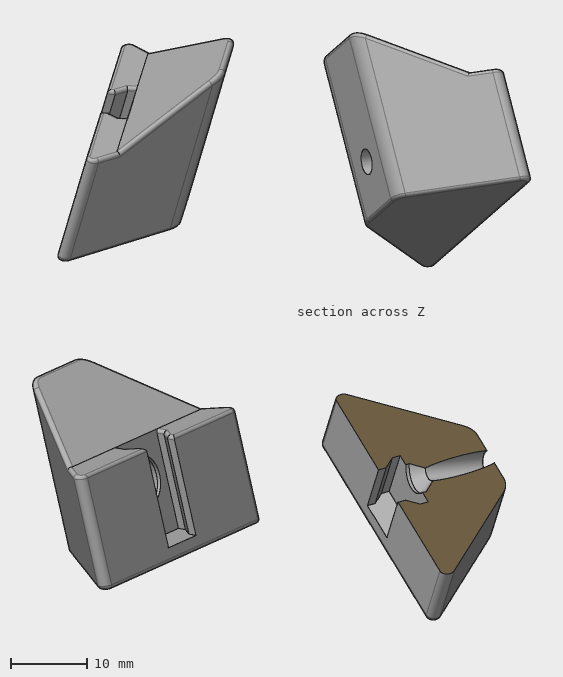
import cadquery as cq
import math

tilt_angle = 15.0
turn_angle = -45.0

half_width = 18.6
block_depth = 14.1
ledge_height = 15.0
ramp_angle = 31.8
front_corner_radius = 1.0
back_corner_radius = 3.58
edge_radius = 0.5

slot_half_width = 3.3
slot_undercut = 1.43
slot_lip = 1.05
slot_floor_height = 2.0

screw_diameter = 3.4
head_diameter = 6.5
head_recess = 0.5
screw_height = 9.45

tilt = math.radians(tilt_angle)
ramp = math.radians(ramp_angle)
tip_half_width = half_width + math.sqrt(2) * front_corner_radius
back_half_width = tip_half_width - block_depth
slot_depth = 2 * slot_lip + slot_undercut
ramp_foot = slot_depth / math.cos(tilt) + ledge_height * math.tan(tilt)
countersink_depth = (head_diameter - screw_diameter) / 2
reach = 4 * half_width


def lean_back(shape):
    """Lean an upright shape backward about the lower front edge."""
    return shape.rotate((0, 0, 0), (1, 0, 0), -tilt_angle)


def half_prism():
    """Right half of the block section, as an over-long leaning prism."""
    prism = (
        cq.Workplane("XY", origin=(0, 0, -reach / 2))
        .lineTo(tip_half_width, 0)
        .lineTo(back_half_width, block_depth)
        .lineTo(0, block_depth)
        .close()
        .extrude(reach)
    )
    prism = prism.edges("|Z and >X").fillet(front_corner_radius)
    back_corner = cq.NearestToPointSelector((back_half_width, block_depth, 0))
    prism = prism.edges("|Z").edges(back_corner).fillet(back_corner_radius)
    return lean_back(prism)


def height_envelope():
    """Space above the base and below the ledge and the ramp."""
    ramp_end_height = ledge_height + (reach - ramp_foot) * math.tan(ramp)
    return (
        cq.Workplane("YZ")
        .moveTo(-reach, 0)
        .lineTo(reach, 0)
        .lineTo(reach, ramp_end_height)
        .lineTo(ramp_foot, ledge_height)
        .lineTo(-reach, ledge_height)
        .close()
        .extrude(reach)
    )


def half_slot():
    """Right half of the undercut slot: it leans with the front face and has a level floor."""
    inner_half_width = slot_half_width + slot_undercut
    profile = (
        cq.Workplane("XY", origin=(0, 0, -reach / 2))
        .moveTo(0, -slot_depth)
        .lineTo(slot_half_width, -slot_depth)
        .lineTo(slot_half_width, slot_lip)
        .lineTo(inner_half_width, slot_lip + slot_undercut)
        .lineTo(inner_half_width, slot_depth)
        .lineTo(0, slot_depth)
        .close()
        .extrude(reach)
    )
    slot_height = ledge_height - slot_floor_height
    level_band = cq.Workplane("XY", origin=(0, 0, slot_floor_height)).rect(reach, reach).extrude(slot_height)
    return lean_back(profile).intersect(level_band)


def outer_edges(faces):
    """Edges around the given faces, without the middle plane and the foot of the ramp."""
    tolerance = 3.11e-05

    def is_outer(edge):
        centre = edge.Center()
        return abs(centre.x) > tolerance and abs(centre.y - ramp_foot) > tolerance

    return faces.edges().filter(is_outer)


def half_block():
    """Right half of the block with its slot and rounded edges."""
    half = half_prism().intersect(height_envelope())
    half = outer_edges(half.faces("<Z")).fillet(edge_radius)
    half = half.cut(half_slot())
    ledge_and_ramp = half.faces("+Z").faces(">Z").add(half.faces(">Z"))
    return outer_edges(ledge_and_ramp).fillet(edge_radius)


def screw_hole():
    """Recessed countersunk through hole, square to the slot wall."""
    height_along_wall = screw_height / math.cos(tilt) + slot_depth * math.tan(tilt)
    wall = cq.Workplane("XZ", origin=(0, slot_depth, height_along_wall))
    hole = wall.circle(screw_diameter / 2).extrude(-reach)
    recess = wall.circle(head_diameter / 2).extrude(-head_recess)
    countersink = (
        wall.workplane(offset=-head_recess)
        .circle(head_diameter / 2)
        .workplane(offset=-countersink_depth)
        .circle(screw_diameter / 2)
        .loft(ruled=True)
    )
    return lean_back(hole.union(recess).union(countersink))


right_half = half_block()
block = right_half.union(right_half.mirror("YZ")).cut(screw_hole())
result = block.rotate((0, 0, 0), (0, 0, 1), turn_angle)